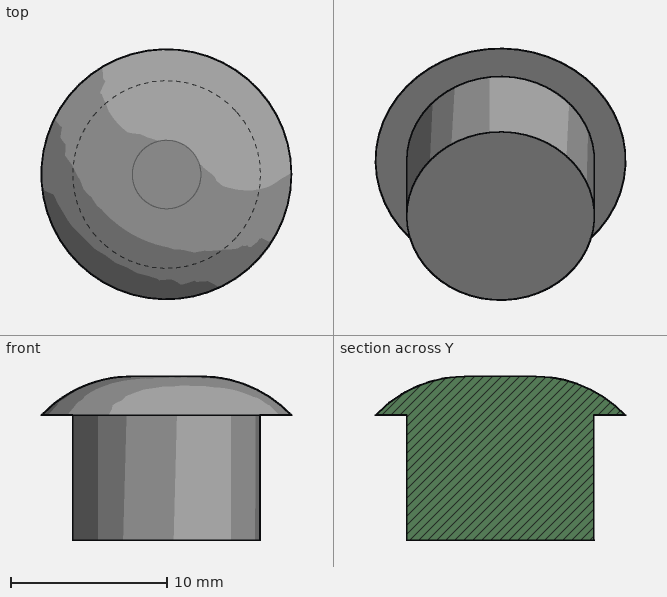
import cadquery as cq
import math

head_diameter = 16.0
head_height = 2.5
crown_radius = 8.0
stem_diameter = 12.0
stem_length = 8.0

head_radius = head_diameter / 2
crown_center_height = head_height - crown_radius
crown_span = math.sqrt(crown_radius**2 - crown_center_height**2)
flat_radius = head_radius - crown_span
half_sweep = math.asin(crown_span / crown_radius) / 2
crown_middle = (
    flat_radius + crown_radius * math.sin(half_sweep),
    crown_center_height + crown_radius * math.cos(half_sweep),
)


def make_stem():
    """Plain cylinder hanging below the head, whose underside lies at Z = 0."""
    return cq.Workplane("XY").circle(stem_diameter / 2).extrude(-stem_length)


def make_head():
    """Domed cap with a flat top, revolved about Z."""
    return (
        cq.Workplane("XZ")
        .lineTo(head_radius, 0)
        .threePointArc(crown_middle, (flat_radius, head_height))
        .lineTo(0, head_height)
        .close()
        .revolve(360, (0, 0), (0, 1))
    )


result = make_stem().union(make_head())